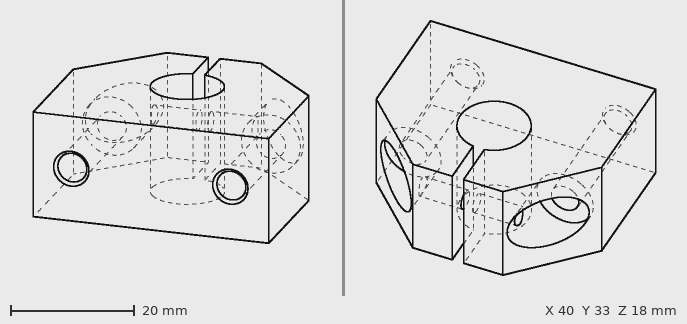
import cadquery as cq

width = 40.0
depth = 33.0
height = 18.0
corner_cut = 12.0
mid_x = width / 2
mid_z = height / 2

bore_diameter = 12.0
bore_y = 19.0
slot_width = 2.0

mount_spacing = 27.0
mount_diameter = 4.9
mount_mouth_diameter = 6.0
mount_chamfer = (mount_mouth_diameter - mount_diameter) / 2
counterbore_diameter = 10.0
counterbore_floor_y = depth - corner_cut

clamp_screw_diameter = 3.25
clamp_screw_y = 28.0


def block():
    """Block with its two rear corners cut at 45 degrees."""
    box = cq.Workplane("XY").box(width, depth, height, centered=False)
    return box.edges("|Z and >Y").chamfer(corner_cut)


def shaft_clamp():
    """Vertical shaft bore with a slot opening to the rear face."""
    bore = cq.Workplane("XY").center(mid_x, bore_y).circle(bore_diameter / 2).extrude(height)
    slot = (
        cq.Workplane("XY")
        .box(slot_width, depth - bore_y, height, centered=(True, False, False))
        .translate((mid_x, bore_y, 0))
    )
    return bore.union(slot)


def mounting_hole(x):
    """Through hole with a chamfered front mouth and a rear counterbore, revolved about its axis."""
    hole_radius = mount_diameter / 2
    counterbore_radius = counterbore_diameter / 2
    return (
        cq.Workplane("XY")
        .moveTo(0, 0)
        .lineTo(mount_mouth_diameter / 2, 0)
        .lineTo(hole_radius, mount_chamfer)
        .lineTo(hole_radius, counterbore_floor_y)
        .lineTo(counterbore_radius, counterbore_floor_y)
        .lineTo(counterbore_radius, depth)
        .lineTo(0, depth)
        .close()
        .revolve(360, (0, 0, 0), (0, 1, 0))
        .translate((x, 0, mid_z))
    )


def clamp_screw_hole():
    """Hole across the slot, through the full width."""
    return (
        cq.Workplane("YZ")
        .center(clamp_screw_y, mid_z)
        .circle(clamp_screw_diameter / 2)
        .extrude(width)
    )


result = block().cut(shaft_clamp()).cut(clamp_screw_hole())
for side in (-1, 1):
    result = result.cut(mounting_hole(mid_x + side * mount_spacing / 2))